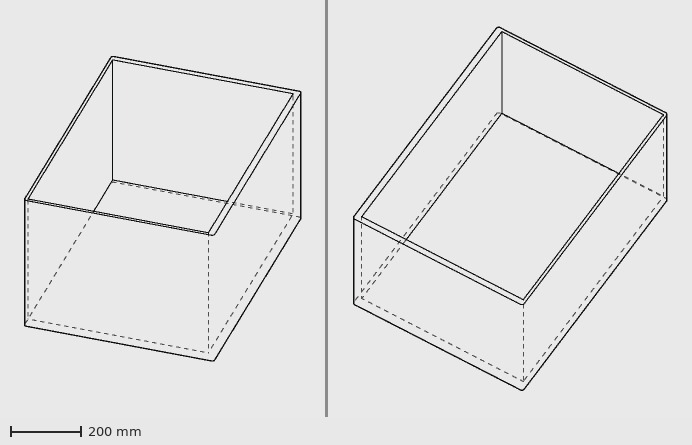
import cadquery as cq

width = 570.0
length = 780.0
height = 430.0
corner_radius = 8.0

left_wall = 9.0
right_wall = 19.5
front_wall = 9.0
back_wall = 18.0
floor_thickness = 19.5

block = (
    cq.Workplane("XY")
    .box(width, length, height, centered=False)
    .edges("|Z")
    .fillet(corner_radius)
)

cavity = (
    cq.Workplane("XY")
    .box(
        width - left_wall - right_wall,
        length - front_wall - back_wall,
        height - floor_thickness,
        centered=False,
    )
    .translate((left_wall, front_wall, floor_thickness))
)

result = block.cut(cavity)